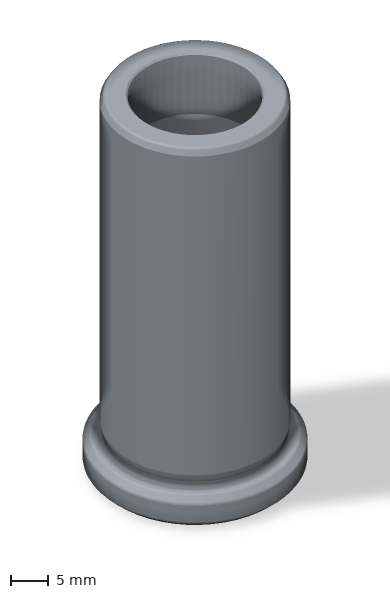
import cadquery as cq
import math

total_length = 61.0
flange_diameter = 30.0
flange_thickness = 5.0
sleeve_diameter = 25.4

flange_base_chamfer = 0.9
flange_top_chamfer = 1.0

lead_in_length = 1.0
lead_in_angle = 30.0

edge_round = 0.5
relief_root_round = 0.5

relief_diameter = 24.7
relief_floor_top = 5.9
relief_taper_angle = 15.0

counterbore_diameter = 18.0
counterbore_depth = 10.0
counterbore_lip = 0.25
funnel_half_angle = 45.0
hole_diameter = 7.94
throat_round = 3.5


def cone_length(large_diameter, small_diameter, half_angle):
    """Axial length of a cone between two diameters."""
    return (large_diameter - small_diameter) / 2 / math.tan(math.radians(half_angle))


def revolve_profile(points):
    """Turn a (radius, height) outline around the Z axis."""
    return cq.Workplane("XZ").polyline(points).close().revolve(360, (0, 0, 0), (0, 1, 0))


def round_circle(body, radius, height, round_radius):
    """Round the circular edge that lies at the given radius and height."""
    edges = [
        edge for edge in body.edges("%CIRCLE").vals()
        if math.isclose(edge.radius(), radius, abs_tol=1e-4)
        and math.isclose(edge.Center().z, height, abs_tol=1e-4)
    ]
    return body.newObject(edges).fillet(round_radius)


def make_outer_body():
    """Flange, relief groove and sleeve as one turned solid."""
    flange_r = flange_diameter / 2
    flange_base_r = flange_r - flange_base_chamfer
    flange_top_r = flange_r - flange_top_chamfer
    flange_rim_top = flange_thickness - flange_top_chamfer
    sleeve_r = sleeve_diameter / 2
    sleeve_tip_r = sleeve_r - lead_in_length * math.tan(math.radians(lead_in_angle))
    relief_r = relief_diameter / 2
    taper_top = relief_floor_top + cone_length(sleeve_diameter, relief_diameter, relief_taper_angle)
    body = revolve_profile([
        (0, 0),
        (flange_base_r, 0),
        (flange_r, flange_base_chamfer),
        (flange_r, flange_rim_top),
        (flange_top_r, flange_thickness),
        (relief_r, flange_thickness),
        (relief_r, relief_floor_top),
        (sleeve_r, taper_top),
        (sleeve_r, total_length - lead_in_length),
        (sleeve_tip_r, total_length),
        (0, total_length),
    ])
    body = round_circle(body, flange_r, flange_base_chamfer, edge_round)
    body = round_circle(body, flange_r, flange_rim_top, edge_round)
    body = round_circle(body, flange_top_r, flange_thickness, edge_round)
    body = round_circle(body, sleeve_tip_r, total_length, edge_round)
    return round_circle(body, relief_r, flange_thickness, relief_root_round)


def cut_bore(body):
    """Counterbore with a broken lip, a funnel below it and a through hole with a rounded mouth."""
    counterbore_r = counterbore_diameter / 2
    hole_r = hole_diameter / 2
    funnel_top = total_length - counterbore_depth
    funnel_end = funnel_top - cone_length(counterbore_diameter, hole_diameter, funnel_half_angle)
    bore = revolve_profile([
        (0, 0),
        (hole_r, 0),
        (hole_r, funnel_end),
        (counterbore_r, funnel_top),
        (counterbore_r, total_length - counterbore_lip),
        (counterbore_r + counterbore_lip, total_length),
        (0, total_length),
    ])
    return round_circle(body.cut(bore), hole_r, funnel_end, throat_round)


result = cut_bore(make_outer_body())